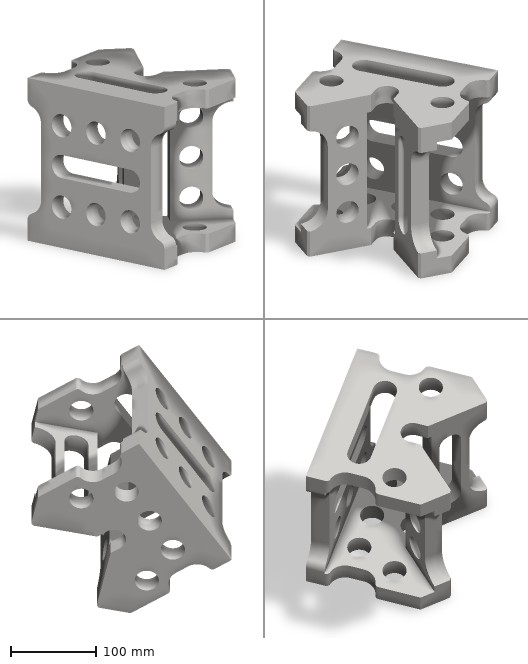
import cadquery as cq
import math

SIZE = 200.0
DEPTH = 168.8
THICKNESS = 22.8
HALF = SIZE / 2

APEX_Y = 100.0
FLANK_LENGTH = 100.0
WALL_START = 25.0

HOLE_DIAMETER = 28.5
HOLE_RADIUS = HOLE_DIAMETER / 2
HOLE_PITCH = 50.0
END_ROW_Y = 50.0
SLOT_LENGTH = 2 * HOLE_PITCH + HOLE_DIAMETER

NOTCH_DEPTH = 20.0
UPRIGHT_NOTCH_LENGTH = 133.5
FRONT_NOTCH_ROUND = 10.0
END_NOTCH_LENGTH = 56.5
END_NOTCH_CENTRE = 56.5
END_NOTCH_ROUND = 5.0
WALL_NOTCH_DEPTH = 25.0

TIP_X = FLANK_LENGTH / math.sqrt(2)
TIP_Y = APEX_Y + TIP_X
SHOULDER_Y = TIP_Y - (HALF - TIP_X)
TIP_FLAT = TIP_Y - DEPTH


def edge_notch(edge_x, centre, length, lip_round):
    """Outline of a notch in the edge at edge_x (open outwards), with rounded lips."""
    outward = math.copysign(1, edge_x)
    floor_x = edge_x - outward * NOTCH_DEPTH
    floor_half = length / 2 - NOTCH_DEPTH
    arc_distance = NOTCH_DEPTH + lip_round
    lip_rise = math.sqrt(arc_distance**2 - lip_round**2)
    join_angle = math.atan2(lip_rise, lip_round)
    half_angle = join_angle / 2

    def inner_point(angle, side):
        x = edge_x - outward * NOTCH_DEPTH * math.cos(angle)
        return (x, centre + side * (floor_half + NOTCH_DEPTH * math.sin(angle)))

    def lip_point(angle, side):
        x = edge_x - outward * lip_round * (1 - math.cos(angle))
        return (x, centre + side * (floor_half + lip_rise - lip_round * math.sin(angle)))

    return (
        cq.Workplane("XY")
        .moveTo(floor_x, centre - floor_half)
        .lineTo(floor_x, centre + floor_half)
        .threePointArc(inner_point(half_angle, 1), inner_point(join_angle, 1))
        .threePointArc(lip_point(half_angle, 1), lip_point(0, 1))
        .lineTo(*lip_point(0, -1))
        .threePointArc(lip_point(half_angle, -1), inner_point(join_angle, -1))
        .threePointArc(inner_point(half_angle, -1), (floor_x, centre - floor_half))
        .close()
    )


def front_plate():
    """Upright plate with a slot between two rows of three holes, notched at both sides."""
    plate = cq.Workplane("XY").rect(SIZE, SIZE).extrude(THICKNESS)
    for edge_x in (-HALF, HALF):
        notch = edge_notch(edge_x, 0, UPRIGHT_NOTCH_LENGTH, FRONT_NOTCH_ROUND)
        plate = plate.cut(notch.extrude(THICKNESS))
    holes = cq.Workplane("XY").rarray(HOLE_PITCH, 2 * HOLE_PITCH, 3, 2).circle(HOLE_RADIUS)
    slot = cq.Workplane("XY").slot2D(SLOT_LENGTH, HOLE_DIAMETER)
    plate = plate.cut(holes.extrude(THICKNESS)).cut(slot.extrude(THICKNESS))
    return plate.rotate((0, 0, 0), (1, 0, 0), 90).translate((0, THICKNESS, 0))


def end_plate():
    """Horizontal plate with the V groove, relief slot, horn holes and side notches."""
    relief_x = HOLE_RADIUS
    plate = (
        cq.Workplane("XY")
        .moveTo(-HALF, 0)
        .lineTo(HALF, 0)
        .lineTo(HALF, SHOULDER_Y)
        .lineTo(TIP_X + TIP_FLAT, DEPTH)
        .lineTo(TIP_X - TIP_FLAT, DEPTH)
        .lineTo(relief_x, APEX_Y + relief_x)
        .lineTo(relief_x, APEX_Y)
        .threePointArc((0, APEX_Y - relief_x), (-relief_x, APEX_Y))
        .lineTo(-relief_x, APEX_Y + relief_x)
        .lineTo(-TIP_X + TIP_FLAT, DEPTH)
        .lineTo(-TIP_X - TIP_FLAT, DEPTH)
        .lineTo(-HALF, SHOULDER_Y)
        .close()
        .extrude(THICKNESS)
    )
    for edge_x in (-HALF, HALF):
        notch = edge_notch(edge_x, END_NOTCH_CENTRE, END_NOTCH_LENGTH, END_NOTCH_ROUND)
        plate = plate.cut(notch.extrude(THICKNESS))
    horn_holes = cq.Workplane("XY").pushPoints([(-TIP_X, APEX_Y), (TIP_X, APEX_Y)]).circle(HOLE_RADIUS)
    return plate.cut(horn_holes.extrude(THICKNESS))


def top_plate():
    """End plate with one long slot behind the front plate."""
    slot = cq.Workplane("XY").center(0, END_ROW_Y).slot2D(SLOT_LENGTH, HOLE_DIAMETER)
    return end_plate().cut(slot.extrude(THICKNESS)).translate((0, 0, HALF - THICKNESS))


def bottom_plate():
    """End plate with a row of three holes behind the front plate."""
    holes = cq.Workplane("XY").center(0, END_ROW_Y).rarray(HOLE_PITCH, 2, 3, 1).circle(HOLE_RADIUS)
    return end_plate().cut(holes.extrude(THICKNESS)).translate((0, 0, -HALF))


def flank_wall(side, slotted):
    """Upright wall under one V flank (side is +1 for +X, -1 for -X), notched at its tip end."""
    plane = cq.Plane(origin=(0, APEX_Y, 0), xDir=(side, 1, 0), normal=(side, -1, 0))
    wall_length = FLANK_LENGTH - WALL_START
    wall_middle = cq.Workplane(plane).center(WALL_START + wall_length / 2, 0)
    wall = wall_middle.rect(wall_length, SIZE).extrude(THICKNESS)

    flank_middle = cq.Workplane(plane).center(FLANK_LENGTH / 2, 0)
    if slotted:
        openings = flank_middle.slot2D(SLOT_LENGTH, HOLE_DIAMETER, 90)
    else:
        openings = flank_middle.rarray(2, HOLE_PITCH, 1, 3).circle(HOLE_RADIUS)

    tip_edge = cq.Workplane(plane).center(FLANK_LENGTH, 0)
    notch = tip_edge.slot2D(UPRIGHT_NOTCH_LENGTH, 2 * WALL_NOTCH_DEPTH, 90)

    depth_limit = cq.Workplane("XY").box(SIZE, DEPTH, SIZE).translate((0, DEPTH / 2, 0))
    wall = wall.cut(openings.extrude(THICKNESS)).cut(notch.extrude(THICKNESS))
    return wall.intersect(depth_limit)


result = (
    front_plate()
    .union(top_plate())
    .union(bottom_plate())
    .union(flank_wall(1, slotted=False))
    .union(flank_wall(-1, slotted=True))
)